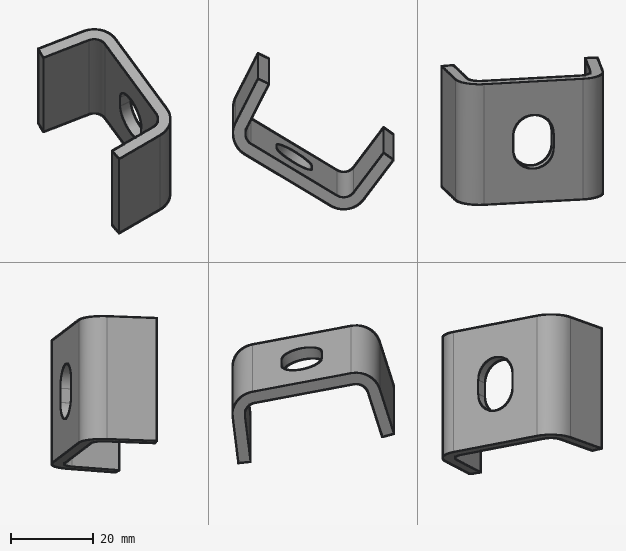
import cadquery as cq
import math

width = 38.6
depth = 17.95
height = 30.5

thickness = 3.0
inner_radius = 3.0
outer_radius = inner_radius + thickness
splay_degrees = 5.0

slot_width = 10.0
slot_length = 13.5

splay = math.radians(splay_degrees)
sin_splay = math.sin(splay)
cos_splay = math.cos(splay)

leg_length = (depth - outer_radius * (1 - sin_splay) - thickness * sin_splay) / cos_splay
bend_x = width / 2 - outer_radius * cos_splay - leg_length * sin_splay
back_y = depth / 2
bend_y = back_y - outer_radius


def bend_point(radius, degrees):
    """Point on the right-hand bend, with the angle measured from +X."""
    angle = math.radians(degrees)
    return (bend_x + radius * math.cos(angle), bend_y + radius * math.sin(angle))


def leg_end(radius):
    """Free end of the right leg face that is tangent to the given bend radius."""
    x, y = bend_point(radius, splay_degrees)
    return (x + leg_length * sin_splay, y - leg_length * cos_splay)


def make_half_channel():
    """Right half of the bent sheet, from the middle of the web to the leg end."""
    mid_bend = (90 + splay_degrees) / 2
    return (
        cq.Workplane("XY")
        .workplane(offset=-height / 2)
        .moveTo(0, back_y)
        .lineTo(*bend_point(outer_radius, 90))
        .threePointArc(bend_point(outer_radius, mid_bend), bend_point(outer_radius, splay_degrees))
        .lineTo(*leg_end(outer_radius))
        .lineTo(*leg_end(inner_radius))
        .lineTo(*bend_point(inner_radius, splay_degrees))
        .threePointArc(bend_point(inner_radius, mid_bend), bend_point(inner_radius, 90))
        .lineTo(0, back_y - thickness)
        .close()
        .extrude(height)
    )


def make_slot_cutter():
    """Upright round-ended slot running through the whole depth."""
    return (
        cq.Workplane("XZ")
        .slot2D(slot_length, slot_width, angle=90)
        .extrude(depth, both=True)
    )


half_channel = make_half_channel()
channel = half_channel.union(half_channel.mirror("YZ")).clean()
result = channel.cut(make_slot_cutter())